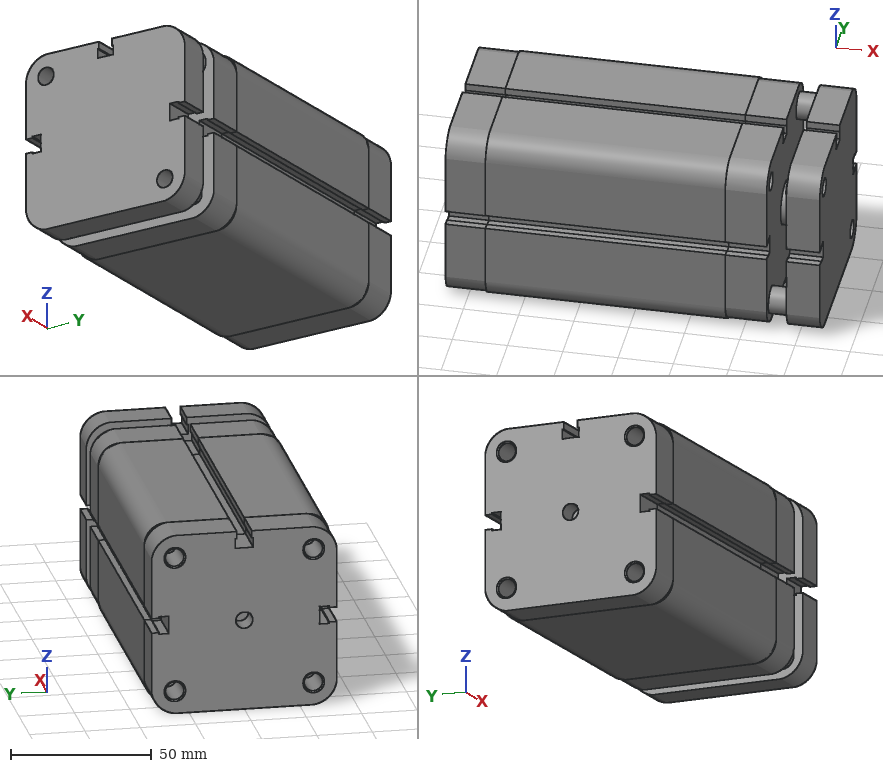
import cadquery as cq


total_length = 135.5
rear_cap_length = 14.5
front_cap_length = 14.9
plate_thickness = 12.0
rod_gap = 7.2
plate_start = total_length - plate_thickness
front_cap_end = plate_start - rod_gap
front_cap_start = front_cap_end - front_cap_length

side = 67.0
corner_setback = 8.4
cap_corner_radius = 9.8
tube_inset = 0.07
tube_side = side - 2 * tube_inset
tube_corner_radius = 8.1

slot_mouth_width = 5.4
slot_inner_width = 6.5
slot_lip_depth = 2.7
slot_depth = 6.2
slot_angles = (-90, 0, 90)

corner_offset = 25.0
bolt_hole_diameter = 6.6
bolt_countersink_diameter = 7.7
guide_rod_diameter = 10.0
bolt_corners = [(-corner_offset, corner_offset), (corner_offset, -corner_offset)]
guide_corners = [(corner_offset, corner_offset), (-corner_offset, -corner_offset)]

centring_diameter = 6.1
centring_depth = 8.1

piston_rod_diameter = 16.0
flat_width = 13.3
flat_runout_start = 0.8
flat_start = 1.2
rod_end_chamfer = 0.3


def cross_section(start):
    """Workplane at X = start whose local axes are Y and Z."""
    return cq.Workplane("YZ", origin=(start, 0, 0))


def bars(start, length, diameter, centres):
    """Round bars along X at the given (Y, Z) centres."""
    return cross_section(start).pushPoints(centres).circle(diameter / 2).extrude(length)


def slot_cutter(start, length):
    """T-slot cutter for the top face, later turned to the flanks."""
    top = side / 2
    floor = top - slot_depth
    mouth = (
        cross_section(start)
        .center(0, top - slot_depth / 2)
        .rect(slot_mouth_width, slot_depth)
        .extrude(length)
    )
    inner_height = slot_depth - slot_lip_depth
    inner = (
        cross_section(start)
        .center(0, floor + inner_height / 2)
        .rect(slot_inner_width, inner_height)
        .extrude(length)
    )
    return mouth.union(inner)


def creased_square(start, length):
    """Square bar along X whose corner arcs are flatter than tangent fillets."""
    half = side / 2
    flat = half - corner_setback
    return (
        cross_section(start)
        .moveTo(-flat, half)
        .lineTo(flat, half)
        .radiusArc((half, flat), cap_corner_radius)
        .lineTo(half, -flat)
        .radiusArc((flat, -half), cap_corner_radius)
        .lineTo(-flat, -half)
        .radiusArc((-half, -flat), cap_corner_radius)
        .lineTo(-half, flat)
        .radiusArc((-flat, half), cap_corner_radius)
        .close()
        .extrude(length)
    )


def filleted_square(start, length):
    """Square bar along X with tangent fillets, slightly narrower than the caps."""
    bar = cross_section(start).rect(tube_side, tube_side).extrude(length)
    return bar.edges("|X").fillet(tube_corner_radius)


def cut_slots_and_bolt_holes(block, start, length):
    """Cut the three T-slots and the two bolt holes that run through every block."""
    for angle in slot_angles:
        block = block.cut(slot_cutter(start, length).rotate((0, 0, 0), (1, 0, 0), angle))
    return block.cut(bars(start, length, bolt_hole_diameter, bolt_corners))


def creased_block(start, length):
    """Cap or plate blank with its T-slots and bolt holes."""
    return cut_slots_and_bolt_holes(creased_square(start, length), start, length)


def make_rear_cap():
    cap = creased_block(0, rear_cap_length)
    cap = cap.cut(bars(0, rear_cap_length, bolt_hole_diameter, guide_corners))
    countersink_depth = (bolt_countersink_diameter - bolt_hole_diameter) / 2
    for y, z in bolt_corners + guide_corners:
        countersink = cq.Solid.makeCone(
            bolt_countersink_diameter / 2,
            bolt_hole_diameter / 2,
            countersink_depth,
            cq.Vector(0, y, z),
            cq.Vector(1, 0, 0),
        )
        cap = cap.cut(cq.Workplane(countersink))
    return cap.cut(bars(0, centring_depth, centring_diameter, [(0, 0)]))


def make_tube():
    length = front_cap_start - rear_cap_length
    tube = filleted_square(rear_cap_length, length)
    tube = cut_slots_and_bolt_holes(tube, rear_cap_length, length)
    return tube.cut(bars(rear_cap_length, length, guide_rod_diameter, guide_corners))


def make_front_cap():
    cap = creased_block(front_cap_start, front_cap_length)
    cap = cap.cut(bars(front_cap_start, front_cap_length, guide_rod_diameter, guide_corners))
    return cap.cut(bars(front_cap_start, front_cap_length, piston_rod_diameter, [(0, 0)]))


def make_yoke():
    """Yoke plate in one piece with the two guide rods, which reach back to the rear cap."""
    plate = creased_block(plate_start, plate_thickness)
    rod_length = plate_start - rear_cap_length
    return plate.union(bars(rear_cap_length, rod_length, guide_rod_diameter, guide_corners))


def make_piston_rod():
    """Rod from the tube to the plate, with sloped run-outs behind its top and bottom flats."""
    rod_length = plate_start - front_cap_start
    rod = bars(front_cap_start, rod_length, piston_rod_diameter, [(0, 0)])
    rod = rod.faces(">X").chamfer(rod_end_chamfer)
    rod_radius = piston_rod_diameter / 2
    flat_cutter = (
        cq.Workplane("XZ")
        .moveTo(front_cap_end + flat_runout_start, rod_radius)
        .lineTo(front_cap_end + flat_start, flat_width / 2)
        .lineTo(plate_start, flat_width / 2)
        .lineTo(plate_start, rod_radius)
        .close()
        .extrude(rod_radius, both=True)
    )
    return rod.cut(flat_cutter).cut(flat_cutter.mirror("XY"))


rear_cap = make_rear_cap()
tube = make_tube()
front_cap = make_front_cap()
yoke = make_yoke()
piston_rod = make_piston_rod()

result = cq.Compound.makeCompound(
    [rear_cap.val(), tube.val(), front_cap.val(), yoke.val(), piston_rod.val()]
)